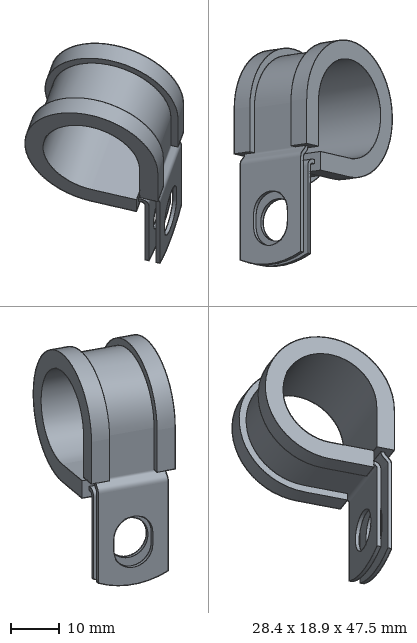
import cadquery as cq
import math

clamp_width = 18.92
outer_radius = 14.2
inner_radius = 10.3
foot_end_x = 9.65
side_end_z = -9.3
groove_width = 10.7

strap_radius = 12.65
strap_thickness = 0.85
strap_width = 15.8
bend_inner_radius = 0.7
near_tab_outer_x = 11.8
jog_start_z = -9.8
jog_angle = math.radians(45)

tab_bottom_z = outer_radius - 47.45
tab_corner_z = -31.6
hole_diameter = 8.77
far_slot_length = 11.3
tab_split_x = 12.55
hole_z = -23.75


def loop_profile(radius):
    """Filled loop outline: three quarters of a circle, then two straight ends and a square corner."""
    diagonal = radius / math.sqrt(2)
    return (
        cq.Workplane("XZ")
        .moveTo(radius, 0)
        .threePointArc((-diagonal, diagonal), (0, -radius))
        .lineTo(radius, -radius)
        .close()
    )


def loop_body(radius, width):
    """Solid loop centered on Y, with the corner beyond both straight ends removed."""
    body = loop_profile(radius).extrude(width / 2, both=True)
    side_cut = cq.Workplane("XY").box(
        radius, 2 * width, radius, centered=(False, True, False)
    ).translate((inner_radius, 0, side_end_z - radius))
    foot_cut = cq.Workplane("XY").box(
        radius, 2 * width, 2 * radius, centered=(False, True, False)
    ).translate((foot_end_x, 0, side_end_z - 2 * radius))
    return body.cut(side_cut).cut(foot_cut)


def make_cushion():
    groove_floor = loop_body(strap_radius, groove_width)
    flanges = loop_body(outer_radius, clamp_width).cut(
        cq.Workplane("XY").box(4 * outer_radius, groove_width, 4 * outer_radius)
    )
    bore = loop_profile(inner_radius).extrude(clamp_width, both=True)
    return groove_floor.union(flanges).cut(bore)


def make_strap():
    """Sweep the flat strip along its centerline from the far tab, round the loop, to the near tab."""
    half_thickness = strap_thickness / 2
    loop_radius = strap_radius - half_thickness
    bend_radius = bend_inner_radius + half_thickness
    far_x = outer_radius - half_thickness
    near_x = near_tab_outer_x - half_thickness
    jog_end_z = jog_start_z - (far_x - loop_radius) / math.tan(jog_angle)

    setback = bend_radius * math.tan(jog_angle / 2)
    setback_x = setback * math.sin(jog_angle)
    setback_z = setback * math.cos(jog_angle)
    loop_diagonal = loop_radius / math.sqrt(2)

    path = (
        cq.Workplane("XZ")
        .moveTo(far_x, tab_bottom_z)
        .lineTo(far_x, jog_end_z - setback)
        .tangentArcPoint((far_x - setback_x, jog_end_z + setback_z), relative=False)
        .lineTo(loop_radius + setback_x, jog_start_z - setback_z)
        .tangentArcPoint((loop_radius, jog_start_z + setback), relative=False)
        .lineTo(loop_radius, 0)
        .threePointArc((-loop_diagonal, loop_diagonal), (0, -loop_radius))
        .lineTo(near_x - bend_radius, -loop_radius)
        .tangentArcPoint((near_x, -loop_radius - bend_radius), relative=False)
        .lineTo(near_x, tab_bottom_z)
    )
    strip = (
        cq.Workplane("XY", origin=(far_x, 0, tab_bottom_z))
        .rect(strap_thickness, strap_width)
        .sweep(path)
    )

    half_width = strap_width / 2
    outline = (
        cq.Workplane("YZ")
        .moveTo(-half_width, outer_radius)
        .lineTo(-half_width, tab_corner_z)
        .threePointArc((0, tab_bottom_z), (half_width, tab_corner_z))
        .lineTo(half_width, outer_radius)
        .close()
        .extrude(2 * outer_radius, both=True)
    )
    near_hole = (
        cq.Workplane("YZ", origin=(tab_split_x, 0, hole_z))
        .circle(hole_diameter / 2)
        .extrude(-outer_radius)
    )
    far_slot = (
        cq.Workplane("YZ", origin=(tab_split_x, 0, hole_z))
        .slot2D(far_slot_length, hole_diameter, 90)
        .extrude(outer_radius)
    )
    return strip.intersect(outline).cut(near_hole).cut(far_slot)


result = make_cushion().union(make_strap())